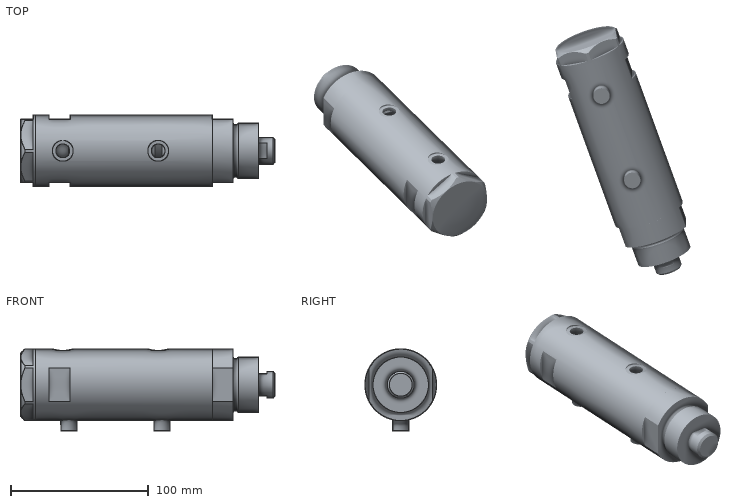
import cadquery as cq


outer_radius = 26.0
bore_radius = 16.8
spigot_radius = 22.3
rod_radius = 9.8
across_flats = 46.1

hex_end = 9.0
tube_start = 10.7
tube_end = 139.0
head_end = 154.2
nose_end = 172.6
rod_end = 184.4

port_stations = (30.6, 99.8)
port_radius = 5.0
spotface_radius = 7.5
spotface_height = 24.9

tube_flat_start = 20.7
tube_flat_end = 36.0

peg_stations = (35.0, 102.5)
peg_radius = 5.9
peg_bottom = -33.4
peg_root = -0.5 * (outer_radius + spigot_radius)

hex_chamfer = 3.1
cap_plug_end = 34.7

spigot_start = 102.5
relief_radius = 19.0
relief_fillet = 1.0
relief_end = 156.4
relief_arc_length = 0.5
relief_arc_rise = 0.2
nose_radius = 20.1
nose_start = 157.8

piston_end = 97.5
rod_chamfer = 1.5
rod_flat_end = 178.5
rod_across_flats = 16.0

blank_size = 3 * outer_radius


def cylinder(start, end, radius):
    """A round bar on the X axis."""
    return cq.Workplane("YZ", origin=(start, 0, 0)).circle(radius).extrude(end - start)


def upright_cylinder(station, bottom, top, radius):
    """A round bar along Z that crosses the X axis."""
    return cq.Workplane("XY", origin=(station, 0, bottom)).circle(radius).extrude(top - bottom)


def slab(start, end, width_y, width_z):
    """A rectangular bar centred on the X axis."""
    return cq.Workplane("YZ", origin=(start, 0, 0)).rect(width_y, width_z).extrude(end - start)


def cut_side_flats(body, start, end):
    """Cut a pair of wrench flats facing -Y and +Y."""
    waste = slab(start, end, blank_size, blank_size)
    return body.cut(waste.cut(slab(start, end, across_flats, blank_size)))


def cut_rod_flats(body):
    """Cut a pair of wrench flats facing -Z and +Z, just outside the nose."""
    waste = slab(nose_end, rod_flat_end, blank_size, blank_size)
    return body.cut(waste.cut(slab(nose_end, rod_flat_end, blank_size, rod_across_flats)))


def make_tube():
    tube = cylinder(tube_start, tube_end, outer_radius)
    tube = cut_side_flats(tube, tube_flat_start, tube_flat_end)
    for station in peg_stations:
        tube = tube.union(upright_cylinder(station, peg_bottom, peg_root, peg_radius))
    tube = tube.cut(cylinder(tube_start, tube_end, bore_radius))
    tube = tube.cut(cylinder(spigot_start, tube_end, spigot_radius))
    for station in port_stations:
        tube = tube.cut(upright_cylinder(station, 0, outer_radius, port_radius))
        tube = tube.cut(upright_cylinder(station, spotface_height, outer_radius, spotface_radius))
    return tube


def make_cap():
    hexagon = (
        cq.Workplane("YZ")
        .polygon(6, across_flats, circumscribed=True)
        .extrude(hex_end)
    )
    blank = cylinder(0, hex_end, outer_radius).faces("<X").chamfer(hex_chamfer)
    flange = cylinder(hex_end, tube_start, outer_radius)
    plug = cylinder(tube_start, cap_plug_end, bore_radius)
    return hexagon.intersect(blank).union(flange).union(plug)


def make_head():
    collar = cut_side_flats(cylinder(tube_end, head_end, outer_radius), tube_end, head_end)
    spigot = cylinder(spigot_start, tube_end, spigot_radius)
    nose = (
        cq.Workplane("XZ")
        .moveTo(head_end, 0)
        .lineTo(head_end, relief_radius + relief_fillet)
        .radiusArc((head_end + relief_fillet, relief_radius), -relief_fillet)
        .lineTo(relief_end, relief_radius)
        .tangentArcPoint((relief_arc_length, relief_arc_rise))
        .lineTo(nose_start, nose_radius)
        .lineTo(nose_end, nose_radius)
        .lineTo(nose_end, 0)
        .close()
        .revolve(360, (0, 0, 0), (1, 0, 0))
    )
    rod_hole = cylinder(spigot_start, nose_end, rod_radius)
    return spigot.union(collar).union(nose).cut(rod_hole)


def make_piston_rod():
    piston = cylinder(cap_plug_end, piston_end, bore_radius)
    rod = cylinder(piston_end, rod_end, rod_radius).faces(">X").chamfer(rod_chamfer)
    return piston.union(cut_rod_flats(rod))



tube = make_tube()
cap = make_cap()
head = make_head()
piston_rod = make_piston_rod()

result = cq.Compound.makeCompound([tube.val(), cap.val(), head.val(), piston_rod.val()])